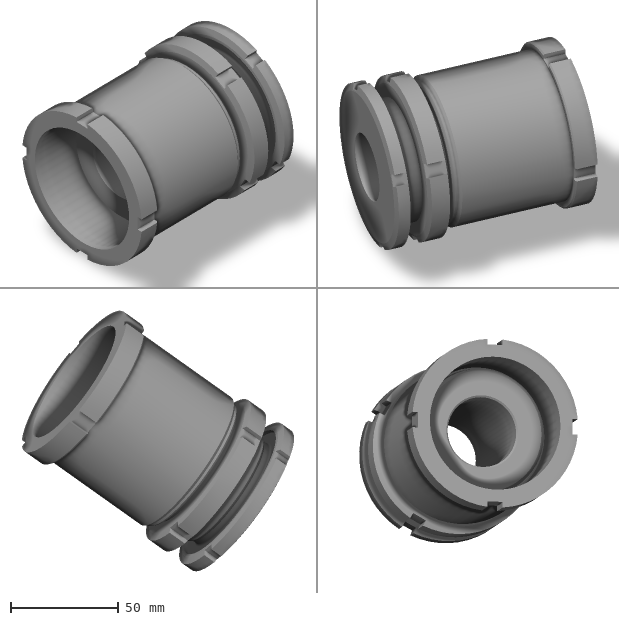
import cadquery as cq
import math


collar_radius = 40.0
thread_radius = 30.0
slot_floor_radius = 37.2
slot_count = 4
rim_chamfer_depth = 1.0
rim_chamfer_height = 3.4

sleeve_front = -50.0
sleeve_rear = 19.9
sleeve_radius = 36.5
sleeve_collar_length = 10.9
sleeve_collar_chamfer = 0.7
sleeve_nose_radius = 35.0
sleeve_nose_length = 2.3
sleeve_nose_chamfer = 1.1
sleeve_bore_radius = 31.5
sleeve_bore_depth = 30.0
sleeve_thread_chamfer = 0.7
sleeve_slot_width = 7.3
sleeve_slot_angle = 0.0

spindle_front = -26.0
spindle_rear = 50.0
spindle_collar_length = 7.9
spindle_neck_radius = 28.5
spindle_neck_length = 1.9
spindle_hole_radius = 16.5
spindle_hole_chamfer = 0.8
spindle_recess_radius = 35.0
spindle_recess_depth = 1.9
spindle_neck_fillet = 1.0
spindle_slot_width = 6.0
spindle_slot_angle = 63.0

nut_front = 22.5
nut_length = 11.0
nut_slot_width = 7.0
nut_slot_angle = 61.7


def revolve(outline):
    """Turn a closed (radius, y) outline around the Y axis."""
    return cq.Workplane("XY").polyline(outline).close().revolve(360, (0, 0, 0), (0, 1, 0))


def cut_slots(body, front, length, slot_width, first_angle):
    """Cut the flat-floored spanner slots into a collar's rim."""
    slot_height = collar_radius
    slot = cq.Workplane("XY").box(
        slot_height, length, slot_width, centered=(False, False, True)
    ).translate((slot_floor_radius, front, 0))
    for index in range(slot_count):
        angle = first_angle + index * 360 / slot_count
        body = body.cut(slot.rotate((0, 0, 0), (0, 1, 0), -angle))
    return body


def make_sleeve():
    collar_rear = sleeve_front + sleeve_collar_length
    bore_end = sleeve_front + sleeve_bore_depth
    nose_start = sleeve_rear - sleeve_nose_length
    shoulder_chamfer = sleeve_radius - sleeve_nose_radius
    body = revolve([
        (sleeve_bore_radius, sleeve_front),
        (collar_radius, sleeve_front),
        (collar_radius, collar_rear - sleeve_collar_chamfer),
        (collar_radius - sleeve_collar_chamfer, collar_rear),
        (sleeve_radius, collar_rear),
        (sleeve_radius, nose_start - shoulder_chamfer),
        (sleeve_nose_radius, nose_start),
        (sleeve_nose_radius, sleeve_rear - sleeve_nose_chamfer),
        (sleeve_nose_radius - sleeve_nose_chamfer, sleeve_rear),
        (thread_radius, sleeve_rear),
        (thread_radius, bore_end + sleeve_thread_chamfer),
        (thread_radius + sleeve_thread_chamfer, bore_end),
        (sleeve_bore_radius, bore_end),
    ])
    return cut_slots(body, sleeve_front, sleeve_collar_length, sleeve_slot_width, sleeve_slot_angle)


def make_spindle():
    collar_front = spindle_rear - spindle_collar_length
    thread_end = collar_front - spindle_neck_length
    thread_chamfer = thread_radius - spindle_neck_radius
    rim_face_radius = collar_radius - rim_chamfer_height
    recess_floor = collar_front + spindle_recess_depth
    fillet_start = recess_floor - spindle_neck_fillet
    fillet_foot_radius = spindle_neck_radius + spindle_neck_fillet
    fillet_inset = spindle_neck_fillet * (1 - math.sqrt(0.5))
    outline = (
        cq.Workplane("XY")
        .moveTo(spindle_hole_radius, spindle_front + spindle_hole_chamfer)
        .lineTo(spindle_hole_radius + spindle_hole_chamfer, spindle_front)
        .lineTo(spindle_neck_radius, spindle_front)
        .lineTo(thread_radius, spindle_front + thread_chamfer)
        .lineTo(thread_radius, thread_end - thread_chamfer)
        .lineTo(spindle_neck_radius, thread_end)
        .lineTo(spindle_neck_radius, fillet_start)
        .threePointArc(
            (spindle_neck_radius + fillet_inset, recess_floor - fillet_inset),
            (fillet_foot_radius, recess_floor),
        )
        .lineTo(spindle_recess_radius, recess_floor)
        .lineTo(spindle_recess_radius, collar_front)
        .lineTo(rim_face_radius, collar_front)
        .lineTo(collar_radius, collar_front + rim_chamfer_depth)
        .lineTo(collar_radius, spindle_rear - rim_chamfer_depth)
        .lineTo(rim_face_radius, spindle_rear)
        .lineTo(spindle_hole_radius, spindle_rear)
        .close()
    )
    body = outline.revolve(360, (0, 0, 0), (0, 1, 0))
    return cut_slots(body, collar_front, spindle_collar_length, spindle_slot_width, spindle_slot_angle)


def make_lock_nut():
    nut_rear = nut_front + nut_length
    rim_face_radius = collar_radius - rim_chamfer_height
    body = revolve([
        (thread_radius, nut_front),
        (rim_face_radius, nut_front),
        (collar_radius, nut_front + rim_chamfer_depth),
        (collar_radius, nut_rear - rim_chamfer_depth),
        (rim_face_radius, nut_rear),
        (thread_radius, nut_rear),
    ])
    return cut_slots(body, nut_front, nut_length, nut_slot_width, nut_slot_angle)


sleeve = make_sleeve()
spindle = make_spindle()
lock_nut = make_lock_nut()

result = cq.Compound.makeCompound([sleeve.val(), spindle.val(), lock_nut.val()])